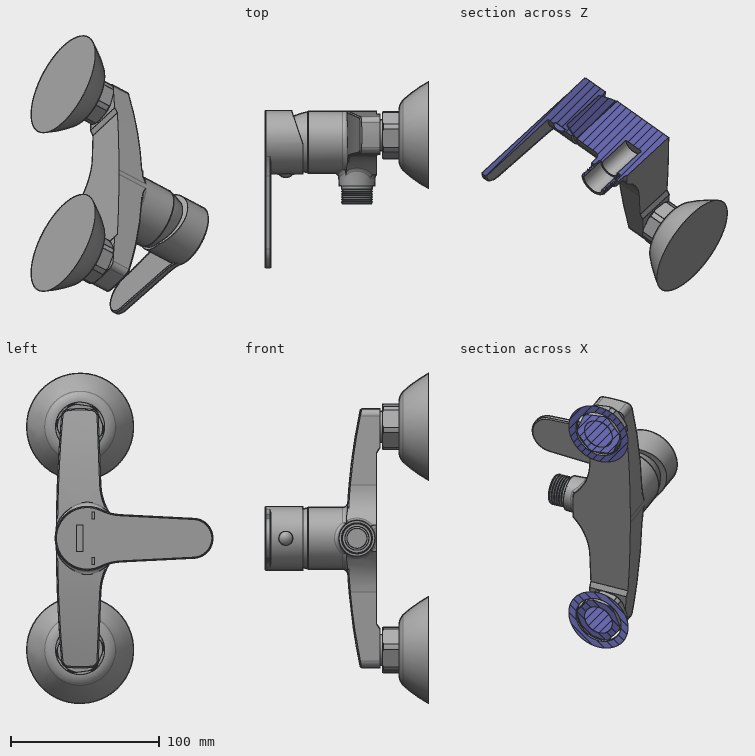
import cadquery as cq
import math


wall_x = 110.1
inlet_pitch = 150.0
inlet_z = inlet_pitch / 2
inlet_y = 4.75

barrel_radius = 20.9
barrel_front_x = 28.8
barrel_back_x = 75.2
barrel_edge = 0.5

arm_end_z = 87.2
arm_corner_z = 86.0
arm_front_mid_x = 55.0
arm_front_end_x = 64.3
arm_end_half_width = 12.1
arm_top_mid_y = 20.8
arm_side_corner = 4.5
arm_edge = 0.9
foot_x = 77.4
foot_start_z = 61.0
foot_ramp = 3.5
flare_start_z = 36.0
flare_end_z = 9
flare_start_y = -9.25
flare_radius = 39
barrel_fillet = 3.4
barrel_fillet_x = 52.3

neck_radius = 10.5

outlet_x = 61.9
boss_end_y = -29.3
boss_end_radius = 12.0
boss_root_radius = 13.0
boss_root_y = -10.0
boss_fillet = 2.8
passage_radius = 6.7
passage_end_y = 0.0
nipple_bore_radius = 8.0
nipple_end_y = -41.4
thread_start_y = -31.3
thread_radius = 10.4
thread_root_radius = 9.5
thread_pitch = 1.8
thread_turns = 5
nipple_tip_radius = 9.75
nipple_spigot_depth = 5.0
nipple_spigot_radius = 9.0

bonnet_front_x = 16.5
bonnet_front_radius = 16.3
bonnet_mid_x = 22.5
bonnet_mid_radius = 18.8
bonnet_back_radius = 20.6

cap_radius = 21.5
cap_depth = 25.5
cap_short_depth = 18.0
cap_slant_y = -1.0
lever_thickness = 4.3
lever_end_y = -84.56
lever_root_angle = math.radians(26)
lever_waist_radius = 34.0
lever_taper = math.radians(2.9)
handle_edge = 0.8
mark_depth = 0.3
label_y = 5.0
label_width = 4.3
label_length = 18.0
tick_y = -4.2
tick_z = 15.3
tick_width = 1.6
tick_length = 4.8

button_radius = 9.5 / 2
button_x = 14.1
button_height = 2.3
button_seat_y = -19.6

nut_front_x = 79.0
nut_across_flats = 29.2
nut_corner_radius = 15.9
nut_turn = 8.0
nut_chamfer = 0.7

rosette_front_x = 90.1
rosette_radius = 36.0
rosette_shoulder_x = 93.0
rosette_shoulder_radius = 23.8
rosette_flank_mid = (101.0, 30.3)
nut_seat_radius = 33.0 / 2
nut_seat_depth = 3.0
nut_back_x = rosette_front_x + nut_seat_depth


def x_cylinder(start_x, end_x, radius, y=0.0, z=0.0):
    """Cylinder parallel to X."""
    disc = cq.Workplane("YZ", origin=(start_x, y, z)).circle(radius)
    return disc.extrude(end_x - start_x)


def revolve_about_x(profile):
    """Revolve an (x, radius) profile drawn on XY about the X axis."""
    return profile.revolve(360, (0, 0, 0), (1, 0, 0))


def revolve_about_outlet(profile):
    """Revolve a (radius, y) profile about the outlet axis, which runs along Y."""
    turned = profile.revolve(360, (0, 0, 0), (0, 1, 0))
    return turned.translate((outlet_x, 0, 0))


def arm_outline():
    """Outline of both arms and the hub, seen along X, as (y, z) points."""
    top_end_y = inlet_y + arm_end_half_width
    bottom_end_y = inlet_y - arm_end_half_width

    taper = math.atan2(bottom_end_y - flare_start_y, arm_corner_z - flare_start_z)
    flare_end = math.asin(math.sin(taper) + (flare_start_z - flare_end_z) / flare_radius)

    def flare_point(angle):
        y = flare_start_y - flare_radius * (math.cos(taper) - math.cos(angle))
        z = flare_start_z - flare_radius * (math.sin(angle) - math.sin(taper))
        return y, z

    flare_mid, flare_mid_z = flare_point((taper + flare_end) / 2)
    flare_low = flare_point(flare_end)[0]
    return (
        cq.Workplane("YZ")
        .moveTo(top_end_y, -arm_corner_z)
        .threePointArc((arm_top_mid_y, 0), (top_end_y, arm_corner_z))
        .threePointArc((inlet_y, arm_end_z), (bottom_end_y, arm_corner_z))
        .lineTo(flare_start_y, flare_start_z)
        .threePointArc((flare_mid, flare_mid_z), (flare_low, flare_end_z))
        .lineTo(flare_low, -flare_end_z)
        .threePointArc((flare_mid, -flare_mid_z), (flare_start_y, -flare_start_z))
        .lineTo(bottom_end_y, -arm_corner_z)
        .threePointArc((inlet_y, -arm_end_z), (top_end_y, -arm_corner_z))
        .close()
    )


def arm_prism():
    prism = arm_outline().extrude(wall_x)
    for z in (-arm_corner_z, arm_corner_z):
        corners = cq.selectors.BoxSelector((0, -barrel_radius, z - 1), (wall_x, barrel_radius, z + 1))
        prism = prism.edges("|X").edges(corners).fillet(arm_side_corner)
    return prism


def arm_side_profile():
    """Side profile of the arms: bowed front, flat back, raised inlet pads."""
    reach = 2 * cap_radius + rosette_radius
    profile = (
        cq.Workplane("XZ", origin=(0, reach / 2, 0))
        .moveTo(arm_front_end_x, -arm_end_z)
        .threePointArc((arm_front_mid_x, 0), (arm_front_end_x, arm_end_z))
        .lineTo(foot_x, arm_end_z)
        .lineTo(foot_x, foot_start_z)
        .lineTo(barrel_back_x, foot_start_z - foot_ramp)
        .lineTo(barrel_back_x, foot_ramp - foot_start_z)
        .lineTo(foot_x, -foot_start_z)
        .lineTo(foot_x, -arm_end_z)
        .close()
    )
    return profile.extrude(reach)


def arm_bevel(arms):
    """Slivers to cut from the front edges of the arms, clear of the barrel."""
    beveled = arms.faces("<X").edges().chamfer(arm_edge)
    hub = x_cylinder(0, wall_x, barrel_radius + barrel_fillet)
    return arms.cut(beveled).cut(hub)


def barrel_flare():
    """Concave ring that blends the barrel into the front of the arms."""
    ring_x = barrel_fillet_x + barrel_fillet
    outer = barrel_radius + barrel_fillet
    bulge = barrel_fillet * math.sqrt(0.5)
    profile = (
        cq.Workplane("XY")
        .moveTo(barrel_fillet_x, 0)
        .lineTo(barrel_fillet_x, barrel_radius)
        .threePointArc((barrel_fillet_x + bulge, outer - bulge), (ring_x, outer))
        .lineTo(ring_x + barrel_fillet, outer)
        .lineTo(ring_x + barrel_fillet, 0)
        .close()
    )
    return revolve_about_x(profile)


def outlet_boss():
    profile = (
        cq.Workplane("XY")
        .moveTo(0, boss_root_y)
        .lineTo(0, boss_end_y)
        .lineTo(boss_end_radius, boss_end_y)
        .lineTo(boss_root_radius, boss_root_y)
        .close()
    )
    return revolve_about_outlet(profile)


def round_boss_root(shell):
    """Fillet the line where the tapered boss meets the barrel and the arms."""
    root_edges = []
    for face in shell.faces("%CONE").vals():
        if face.BoundingBox().ymin < boss_end_y + boss_fillet:
            edges = [edge for edge in face.Edges() if edge.BoundingBox().ymin > boss_end_y + boss_fillet]
            root_edges.extend(edges)
    return shell.newObject(root_edges).fillet(boss_fillet)


def make_body():
    outline = arm_prism()
    arms = outline.intersect(arm_side_profile())
    barrel = x_cylinder(barrel_front_x, wall_x, barrel_radius)
    barrel = barrel.faces("<X").edges().chamfer(barrel_edge)
    body = round_boss_root(barrel.union(outlet_boss()).union(arms))
    body = body.cut(x_cylinder(barrel_back_x, wall_x, barrel_radius + boss_fillet))
    body = body.cut(arm_bevel(arms)).union(barrel_flare().intersect(outline))
    for z in (-inlet_z, inlet_z):
        body = body.union(x_cylinder(foot_x - 1, nut_back_x, neck_radius, inlet_y, z))
    passage = cq.Workplane("XZ", origin=(outlet_x, passage_end_y, 0)).circle(passage_radius)
    body = body.cut(passage.extrude(passage_end_y - boss_end_y))
    spigot_hole = cq.Workplane("XZ", origin=(outlet_x, boss_end_y + nipple_spigot_depth, 0))
    return body.cut(spigot_hole.circle(nipple_spigot_radius).extrude(nipple_spigot_depth))


def make_nipple():
    """Threaded tube; the thread is a row of ring-shaped ridges."""
    profile = (
        cq.Workplane("XY")
        .moveTo(nipple_bore_radius, boss_end_y + nipple_spigot_depth)
        .lineTo(nipple_spigot_radius, boss_end_y + nipple_spigot_depth)
        .lineTo(nipple_spigot_radius, boss_end_y)
        .lineTo(thread_radius, boss_end_y)
        .lineTo(thread_radius, thread_start_y)
    )
    for turn in range(thread_turns):
        crest_y = thread_start_y - turn * thread_pitch
        profile = profile.lineTo(thread_root_radius, crest_y - thread_pitch / 2)
        profile = profile.lineTo(thread_radius, crest_y - thread_pitch)
    profile = (
        profile.lineTo(nipple_tip_radius, nipple_end_y)
        .lineTo(nipple_bore_radius, nipple_end_y)
        .close()
    )
    return revolve_about_outlet(profile)


def make_bonnet():
    profile = (
        cq.Workplane("XY")
        .moveTo(bonnet_front_x, 0)
        .lineTo(bonnet_front_x, bonnet_front_radius)
        .threePointArc((bonnet_mid_x, bonnet_mid_radius), (barrel_front_x, bonnet_back_radius))
        .lineTo(barrel_front_x, 0)
        .close()
    )
    return revolve_about_x(profile)


def lever_plate():
    """Flat lever: round head, waisted neck and round tip."""
    waist_center = cap_radius + lever_waist_radius

    def waist_point(angle):
        y = lever_waist_radius * math.sin(angle) - waist_center * math.sin(lever_root_angle)
        z = waist_center * math.cos(lever_root_angle) - lever_waist_radius * math.cos(angle)
        return y, z

    root_y, root_z = waist_point(lever_root_angle)
    mid_y, mid_z = waist_point((lever_root_angle + lever_taper) / 2)
    waist_y, waist_z = waist_point(lever_taper)

    slope_run = math.sin(lever_taper) * (lever_end_y - waist_y)
    tip_radius = (slope_run + math.cos(lever_taper) * waist_z) / (1 - math.sin(lever_taper))
    tip_y = lever_end_y + tip_radius - tip_radius * math.sin(lever_taper)
    tip_z = tip_radius * math.cos(lever_taper)

    outline = (
        cq.Workplane("YZ")
        .moveTo(root_y, -root_z)
        .threePointArc((cap_radius, 0), (root_y, root_z))
        .threePointArc((mid_y, mid_z), (waist_y, waist_z))
        .lineTo(tip_y, tip_z)
        .threePointArc((lever_end_y, 0), (tip_y, -tip_z))
        .lineTo(waist_y, -waist_z)
        .threePointArc((mid_y, -mid_z), (root_y, -root_z))
        .close()
    )
    return outline.extrude(lever_thickness)


def cap_rim_wedge():
    """Material above the slanted rim at the top of the cap."""
    wedge = (
        cq.Workplane("XY", origin=(0, 0, -cap_radius))
        .moveTo(cap_depth, cap_slant_y)
        .lineTo(cap_short_depth, cap_radius)
        .lineTo(cap_depth, cap_radius)
        .close()
    )
    return wedge.extrude(2 * cap_radius)


def mark_cutter(y, z, width, length):
    return cq.Workplane("XY").box(2 * mark_depth, width, length).translate((0, y, z))


def make_handle(bonnet, button):
    lever = lever_plate().faces("<X or >X").edges().chamfer(handle_edge)
    cap = x_cylinder(0, cap_depth, cap_radius)
    cap = cap.faces("<X").edges().chamfer(handle_edge)
    handle = lever.union(cap).cut(cap_rim_wedge()).cut(bonnet).cut(button)
    handle = handle.cut(mark_cutter(label_y, 0, label_width, label_length))
    for side in (-1, 1):
        handle = handle.cut(mark_cutter(tick_y, side * tick_z, tick_width, tick_length))
    return handle


def make_button():
    """Domed plug set in the underside of the cap."""
    face_y = -math.sqrt(cap_radius**2 - button_radius**2)
    crown_y = -cap_radius - button_height
    shoulder_y = (face_y + crown_y) / 2 + button_height / 2
    dome_radius = (button_radius**2 + (shoulder_y - crown_y)**2) / (2 * (shoulder_y - crown_y))
    dome_angle = math.asin(button_radius / dome_radius) / 2
    dome_mid = (dome_radius * math.sin(dome_angle),
                crown_y + dome_radius * (1 - math.cos(dome_angle)))
    profile = (
        cq.Workplane("XY")
        .moveTo(0, button_seat_y)
        .lineTo(button_radius, button_seat_y)
        .lineTo(button_radius, shoulder_y)
        .threePointArc(dome_mid, (0, crown_y))
        .close()
    )
    return profile.revolve(360, (0, 0, 0), (0, 1, 0)).translate((button_x, 0, 0))


def make_nut(side):
    """Hexagon nut with rounded corners; the two nuts are mirror images."""
    length = nut_back_x - nut_front_x
    across_corners = nut_across_flats / math.cos(math.pi / 6)
    hexagon = cq.Workplane("YZ").polygon(6, across_corners).extrude(length)
    hexagon = hexagon.rotate((0, 0, 0), (1, 0, 0), side * nut_turn)
    blank = x_cylinder(0, length, nut_corner_radius).faces("<X").edges().chamfer(nut_chamfer)
    nut = hexagon.intersect(blank).cut(x_cylinder(0, length, neck_radius))
    return nut.translate((nut_front_x, inlet_y, side * inlet_z))


def make_rosette(side):
    """Wall rosette with a rounded nose that leaves the nut seat square to X."""
    nose_depth = rosette_shoulder_x - rosette_front_x
    nose_rise = rosette_shoulder_radius - nut_seat_radius
    nose_radius = (nose_depth**2 + nose_rise**2) / (2 * nose_depth)
    nose_angle = math.asin(nose_rise / nose_radius) / 2
    round_mid = (rosette_front_x + nose_radius * (1 - math.cos(nose_angle)),
                 nut_seat_radius + nose_radius * math.sin(nose_angle))
    profile = (
        cq.Workplane("XY")
        .moveTo(nut_back_x, 0)
        .lineTo(nut_back_x, nut_seat_radius)
        .lineTo(rosette_front_x, nut_seat_radius)
        .threePointArc(round_mid, (rosette_shoulder_x, rosette_shoulder_radius))
        .threePointArc(rosette_flank_mid, (wall_x, rosette_radius))
        .lineTo(wall_x, 0)
        .close()
    )
    return revolve_about_x(profile).translate((0, inlet_y, side * inlet_z))


body = make_body()
nipple = make_nipple()
bonnet = make_bonnet()
button = make_button()
handle = make_handle(bonnet, button)
nuts = [make_nut(side) for side in (-1, 1)]
rosettes = [make_rosette(side) for side in (-1, 1)]

result = cq.Compound.makeCompound([
    body.val(),
    nipple.val(),
    bonnet.val(),
    button.val(),
    handle.val(),
    *[nut.val() for nut in nuts],
    *[rosette.val() for rosette in rosettes],
])